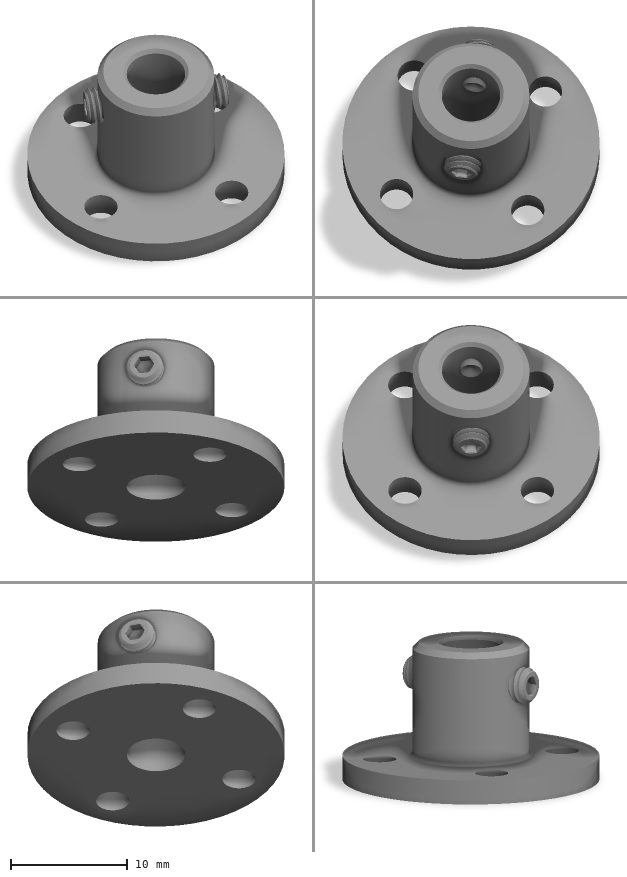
import cadquery as cq
import math

flange_diameter = 22.0
flange_thickness = 2.1
mounting_hole_diameter = 2.85
mounting_hole_count = 4
mounting_circle_radius = 8.0

total_height = 11.95
hub_diameter = 10.0
hub_top_chamfer = 0.5
hub_root_fillet = 0.3
bore_diameter = 5.0
bore_chamfer = 0.3

screw_height = 8.75
screw_angles = (45.0, 225.0)
screw_length = 4.0
screw_tip_radius = 2.12
head_face_diameter = 2.45
tip_face_diameter = 1.75
cone_half_angle = math.radians(60.0)

thread_pitch = 0.5
thread_root_diameter = 2.35
thread_crest_diameter = 3.1
thread_root_flat = 0.03
thread_flank_angle = math.radians(30.0)
thread_start_angle = -43.0
groove_overshoot = 0.02
rod_allowance = 0.2

socket_across_flats = 1.5
socket_corner_diameter = socket_across_flats * 2 / math.sqrt(3)
socket_depth = 0.8


def cone(base_z, base_diameter, direction):
    """60 degree half-angle cone along Z with its base at base_z and its apex upward (1) or downward (-1)."""
    radius = base_diameter / 2
    height = radius / math.tan(cone_half_angle)
    return cq.Workplane(
        cq.Solid.makeCone(radius, 0, height, cq.Vector(0, 0, base_z), cq.Vector(0, 0, direction))
    )


def screw_envelope(radius):
    """Smooth bar along Z with the 45 degree chamfers of the screw's tip and drive face."""
    tip_radius = tip_face_diameter / 2
    head_radius = head_face_diameter / 2
    return (
        cq.Workplane("XZ")
        .moveTo(0, 0)
        .lineTo(tip_radius, 0)
        .lineTo(radius, radius - tip_radius)
        .lineTo(radius, screw_length - (radius - head_radius))
        .lineTo(head_radius, screw_length)
        .lineTo(0, screw_length)
        .close()
        .revolve(360, (0, 0, 0), (0, 1, 0))
    )


def thread_groove():
    """Right-hand helical groove of trapezoid section that runs past both ends of the threaded rod."""
    root_radius = thread_root_diameter / 2
    outer_radius = thread_crest_diameter / 2 + groove_overshoot
    root_half_width = thread_root_flat / 2
    outer_half_width = root_half_width + (outer_radius - root_radius) * math.tan(thread_flank_angle)
    start_z = -thread_pitch
    helix = cq.Wire.makeHelix(thread_pitch, screw_length + 2 * thread_pitch, root_radius)
    helix = helix.translate(cq.Vector(0, 0, start_z))
    return (
        cq.Workplane("XZ")
        .polyline([
            (root_radius, start_z - root_half_width),
            (outer_radius, start_z - outer_half_width),
            (outer_radius, start_z + outer_half_width),
            (root_radius, start_z + root_half_width),
        ])
        .close()
        .sweep(cq.Workplane(helix), isFrenet=True)
    )


def threaded_rod():
    """Threaded bar along Z, slightly longer than the screw at both ends."""
    return (
        cq.Workplane("XY", origin=(0, 0, -rod_allowance))
        .circle(thread_crest_diameter / 2)
        .extrude(screw_length + 2 * rod_allowance)
        .cut(thread_groove())
        .rotate((0, 0, 0), (0, 0, 1), thread_start_angle)
    )


def hexagon_socket():
    """Hexagonal hole with a conical bottom and a chamfered mouth, opening at the drive face."""
    floor_z = screw_length - socket_depth
    cone_height = socket_corner_diameter / 2 / math.tan(cone_half_angle)
    hexagon = (
        cq.Workplane("XY", origin=(0, 0, floor_z - cone_height))
        .polygon(6, socket_corner_diameter)
        .extrude(socket_depth + cone_height)
        .rotate((0, 0, 0), (0, 0, 1), 90)
    )
    drilled_envelope = (
        cq.Workplane("XY", origin=(0, 0, floor_z))
        .circle(socket_corner_diameter / 2)
        .extrude(socket_depth)
        .union(cone(floor_z, socket_corner_diameter, -1))
    )
    mouth = cone(screw_length, socket_corner_diameter, -1)
    return hexagon.intersect(drilled_envelope).union(mouth)


def make_screw():
    """Set screw along Z: cup point at Z = 0, drive face at Z = screw_length."""
    cup = cone(0, tip_face_diameter, 1)
    return (
        threaded_rod()
        .intersect(screw_envelope(thread_crest_diameter / 2 + rod_allowance))
        .cut(hexagon_socket())
        .cut(cup)
    )


def place_radially(body, angle):
    """Turn a body built along Z outward from the hub axis at the given angle about Z."""
    return (
        body.translate((0, 0, screw_tip_radius))
        .rotate((0, 0, 0), (0, 1, 0), 90)
        .rotate((0, 0, 0), (0, 0, 1), angle)
        .translate((0, 0, screw_height))
    )


def make_flanged_hub():
    flange_radius = flange_diameter / 2
    hub_radius = hub_diameter / 2
    bore_radius = bore_diameter / 2
    hub = (
        cq.Workplane("XZ")
        .moveTo(bore_radius, 0)
        .lineTo(flange_radius, 0)
        .lineTo(flange_radius, flange_thickness)
        .lineTo(hub_radius + hub_root_fillet, flange_thickness)
        .radiusArc((hub_radius, flange_thickness + hub_root_fillet), hub_root_fillet)
        .lineTo(hub_radius, total_height - hub_top_chamfer)
        .lineTo(hub_radius - hub_top_chamfer, total_height)
        .lineTo(bore_radius + bore_chamfer, total_height)
        .lineTo(bore_radius, total_height - bore_chamfer)
        .close()
        .revolve(360, (0, 0, 0), (0, 1, 0))
    )
    mounting_holes = (
        cq.Workplane("XY")
        .polarArray(mounting_circle_radius, 0, 360, mounting_hole_count)
        .circle(mounting_hole_diameter / 2)
        .extrude(flange_thickness)
    )
    hub = hub.cut(mounting_holes)
    screw_hole = screw_envelope(thread_crest_diameter / 2)
    for angle in screw_angles:
        hub = hub.cut(place_radially(screw_hole, angle))
    return hub


screw = make_screw()
screws = [place_radially(screw, angle) for angle in screw_angles]
flanged_hub = make_flanged_hub()

result = cq.Compound.makeCompound([flanged_hub.val(), *[body.val() for body in screws]])